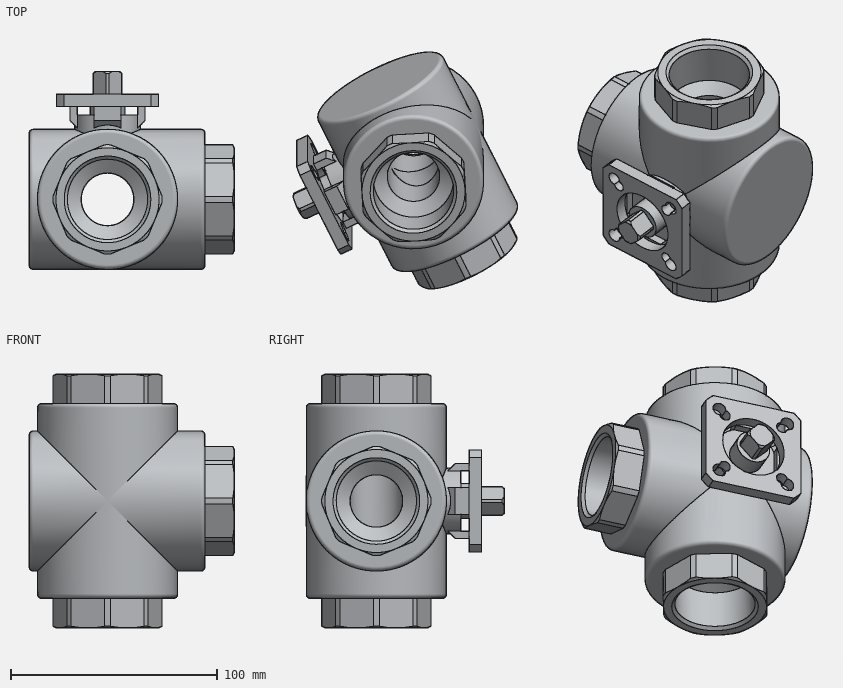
import cadquery as cq
import math

body_diameter = 68.0
body_radius = body_diameter / 2
body_reach = 47.25
blind_reach = 38.0
body_edge_fillet = 2.0

port_reach = 61.5
octagon_sides = 8
octagon_flats = 50.0
octagon_turned_diameter = 53.0
end_chamfer_length = 0.8

passage_diameter = 25.4
thread_diameter = 38.95
mouth_diameter = 42.0
mouth_depth = 1.5
thread_depth = 21.0
seat_half_angle = 60.0

collar_diameter = 32.0
collar_top = 41.0

plate_size = 49.5
plate_corner_diameter = 65.0
plate_thickness = 6.0
plate_top = 51.0
plate_bottom = plate_top - plate_thickness
plate_opening_diameter = 32.0
outer_bolt_circle = 50.0
outer_bolt_hole = 6.6
inner_bolt_circle = 42.0
inner_bolt_hole = 5.5
bolts_per_circle = 4

leg_count = 4
leg_width = 13.0
leg_inner = 14.6
leg_outer = 18.2
leg_straight_end = 38.2

stem_diameter = 17.0
stem_top = 62.0
drive_square = 11.0
drive_turned_diameter = 14.0
drive_chamfer = 1.0


def revolve_z(points):
    """Turn a closed (radius, z) outline around the Z axis."""
    return cq.Workplane("XZ").polyline(points).close().revolve(360, (0, 0, 0), (0, 1, 0))


def z_to_x(shape):
    """Turn a shape that points along +Z so that it points along +X."""
    return shape.rotate((0, 0, 0), (0, 1, 0), 90)


def cylinder_y(diameter, start, end):
    """Cylinder around the Y axis between two Y positions."""
    return cq.Workplane("XZ", origin=(0, start, 0)).circle(diameter / 2).extrude(start - end)


def make_body():
    """Crossed cylinders with rounded end edges; the branch is closed at -X."""
    run = cq.Workplane("XY").workplane(offset=-body_reach).circle(body_radius).extrude(2 * body_reach)
    run = run.faces("<Z or >Z").edges().fillet(body_edge_fillet)
    branch_length = blind_reach + body_reach
    branch = cq.Workplane("YZ").workplane(offset=-blind_reach).circle(body_radius).extrude(branch_length)
    branch = branch.faces("<X or >X").edges().fillet(body_edge_fillet)
    return run.union(branch)


def make_octagon_end():
    """Octagonal end on +Z with turned corners and a chamfered face."""
    corner_diameter = octagon_flats / math.cos(math.pi / octagon_sides)
    turned_radius = octagon_turned_diameter / 2
    prism = cq.Workplane("XY").polygon(octagon_sides, corner_diameter).extrude(port_reach)
    turning = revolve_z([
        (0, body_radius),
        (turned_radius, body_radius),
        (turned_radius, port_reach - end_chamfer_length),
        (octagon_flats / 2, port_reach),
        (0, port_reach),
    ])
    return prism.intersect(turning)


def make_port_bore():
    """Bore on +Z: flared mouth, thread bore, sloping seat and passage to the centre."""
    seat_length = (thread_diameter - passage_diameter) / 2 / math.tan(math.radians(seat_half_angle))
    throat = port_reach - thread_depth - seat_length
    return revolve_z([
        (0, 0),
        (passage_diameter / 2, 0),
        (passage_diameter / 2, throat),
        (thread_diameter / 2, port_reach - thread_depth),
        (thread_diameter / 2, port_reach - mouth_depth),
        (mouth_diameter / 2, port_reach),
        (0, port_reach),
    ])


def at_ports(shape):
    """Copies of a +Z shape at the +Z, -Z and +X ports."""
    opposite = shape.rotate((0, 0, 0), (1, 0, 0), 180)
    return [shape, opposite, z_to_x(shape)]


def make_bolt_holes(circle_diameter, hole_diameter):
    """Through holes on the plate diagonals."""
    holes = cq.Workplane("XZ", origin=(0, plate_bottom, 0))
    holes = holes.polarArray(circle_diameter / 2, 45, 360, bolts_per_circle)
    return holes.circle(hole_diameter / 2).extrude(-plate_thickness)


def make_plate():
    """Square plate with turned corners, two bolt circles and a clear opening around the stem."""
    plate = cq.Workplane("XZ", origin=(0, plate_bottom, 0)).rect(plate_size, plate_size)
    plate = plate.extrude(-plate_thickness)
    plate = plate.intersect(cylinder_y(plate_corner_diameter, plate_bottom, plate_top))
    plate = plate.cut(cylinder_y(plate_opening_diameter, plate_bottom, plate_top))
    plate = plate.cut(make_bolt_holes(outer_bolt_circle, outer_bolt_hole))
    return plate.cut(make_bolt_holes(inner_bolt_circle, inner_bolt_hole))


def make_leg():
    """Leg on +X, sloping inward at 45 degrees where it runs into the collar."""
    slope = leg_outer - leg_inner
    outline = cq.Workplane("XY").workplane(offset=-leg_width / 2).polyline([
        (leg_inner, plate_bottom),
        (leg_outer, plate_bottom),
        (leg_outer, leg_straight_end),
        (leg_inner, leg_straight_end - slope),
    ])
    return outline.close().extrude(leg_width)


def make_stem():
    """Round neck from the body to the plate face, then a square drive with turned corners."""
    neck = cylinder_y(stem_diameter, body_radius, plate_top)
    square = cq.Workplane("XZ", origin=(0, plate_bottom, 0)).rect(drive_square, drive_square)
    square = square.extrude(plate_bottom - stem_top).rotate((0, 0, 0), (0, 1, 0), 45)
    turning = cylinder_y(drive_turned_diameter, plate_bottom, stem_top)
    turning = turning.faces(">Y").edges().chamfer(drive_chamfer)
    return neck.union(square.intersect(turning))


valve = make_body()
for octagon_end in at_ports(make_octagon_end()):
    valve = valve.union(octagon_end)

valve = valve.union(cylinder_y(collar_diameter, 0, collar_top))
valve = valve.union(make_plate())
for leg_index in range(leg_count):
    valve = valve.union(make_leg().rotate((0, 0, 0), (0, 1, 0), leg_index * 360 / leg_count))
valve = valve.union(make_stem())

for bore in at_ports(make_port_bore()):
    valve = valve.cut(bore)

result = valve